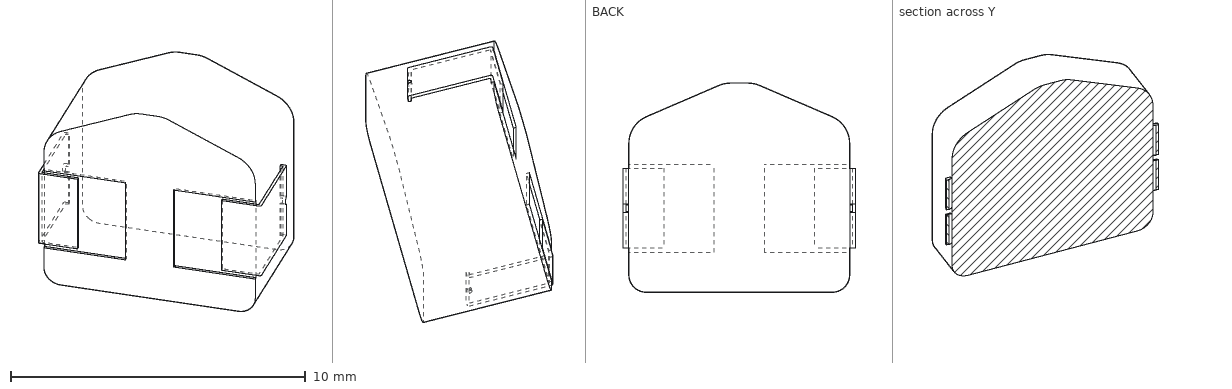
import cadquery as cq

housing_width = 7.5
housing_depth = 4.5
housing_height = 7.1
eave_height = 5.7
ridge_width = 1.0
top_corner_radius = 1.0
bottom_corner_radius = 0.6

overall_width = 7.9
strip_thickness = 0.1
strip_bottom = 1.5
strip_height = 2.7
strip_top = strip_bottom + strip_height
bend_radius = 0.06
inner_bend_radius = 0.02
foot_length = 1.4
terminal_back = 3.0
notch_radius = 0.15

pocket_inner_x = 0.85
pocket_bottom = 1.35
pocket_height = 2.99
pocket_depth = strip_thickness

half_width = housing_width / 2
terminal_outer_x = overall_width / 2
terminal_inner_x = terminal_outer_x - foot_length
sides = (-1, 1)


def side_box(side, x_range, y_range, z_range):
    """Box between the given limits, with X measured outwards from the middle on one side."""
    x_near, x_far = x_range
    y_front, y_back = y_range
    z_low, z_high = z_range
    return (
        cq.Workplane("XY")
        .box(x_far - x_near, y_back - y_front, z_high - z_low)
        .translate((side * (x_near + x_far) / 2, (y_front + y_back) / 2, (z_low + z_high) / 2))
    )


def make_terminal(side):
    """C-shaped strip: a foot in front, a wall beside the housing and a leg ending on its side."""
    z_range = (strip_bottom, strip_top)
    strip = side_box(side, (terminal_inner_x, terminal_outer_x), (0, terminal_back), z_range)
    outer_edge = ">X" if side > 0 else "<X"
    strip = strip.faces(outer_edge).edges("|Z").fillet(bend_radius)

    hollow = side_box(
        side,
        (terminal_inner_x, terminal_outer_x - strip_thickness),
        (strip_thickness, terminal_back - strip_thickness),
        z_range,
    )
    hollow = hollow.faces(outer_edge).edges("|Z").fillet(inner_bend_radius)
    inside_housing = side_box(
        side,
        (terminal_inner_x, half_width),
        (strip_thickness, terminal_back),
        z_range,
    )

    notch = (
        cq.Workplane("YZ")
        .center(terminal_back, strip_bottom + strip_height / 2)
        .circle(notch_radius)
        .extrude(side * terminal_outer_x)
    )
    return strip.cut(hollow).cut(inside_housing).cut(notch)


def make_housing():
    """Gabled block with rounded edges and a front pocket for each terminal foot."""
    block = (
        cq.Workplane("XZ")
        .polyline([
            (-half_width, 0),
            (half_width, 0),
            (half_width, eave_height),
            (ridge_width / 2, housing_height),
            (-ridge_width / 2, housing_height),
            (-half_width, eave_height),
        ])
        .close()
        .extrude(-housing_depth)
    )
    block = block.edges("|Y and (not <Z)").fillet(top_corner_radius)
    block = block.edges("|Y and <Z").fillet(bottom_corner_radius)

    for side in sides:
        pocket = side_box(
            side,
            (pocket_inner_x, half_width),
            (0, pocket_depth),
            (pocket_bottom, pocket_bottom + pocket_height),
        )
        block = block.cut(pocket)
    return block


housing = make_housing()
terminals = [make_terminal(side) for side in sides]

result = cq.Compound.makeCompound([housing.val(), *[terminal.val() for terminal in terminals]])